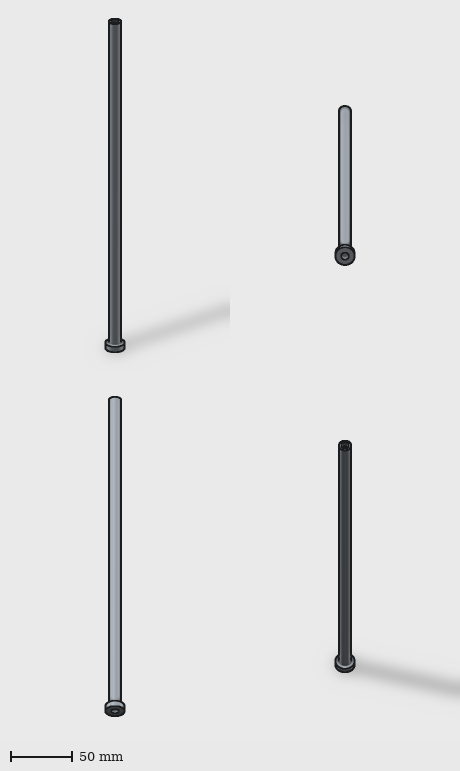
import cadquery as cq

total_length = 300.0
tube_diameter = 10.2
bore_diameter = 6.3
head_diameter = 16.0
head_height = 5.0
neck_fillet = 0.5

tube_radius = tube_diameter / 2
head_radius = head_diameter / 2

half_section = (
    cq.Workplane("XZ")
    .lineTo(-head_radius, 0)
    .lineTo(-head_radius, head_height)
    .lineTo(-tube_radius - neck_fillet, head_height)
    .radiusArc((-tube_radius, head_height + neck_fillet), -neck_fillet)
    .lineTo(-tube_radius, total_length)
    .lineTo(0, total_length)
    .close()
)
body = half_section.revolve(360, (0, 0, 0), (0, 1, 0))

bore = cq.Workplane("XY").circle(bore_diameter / 2).extrude(total_length)

result = body.cut(bore)